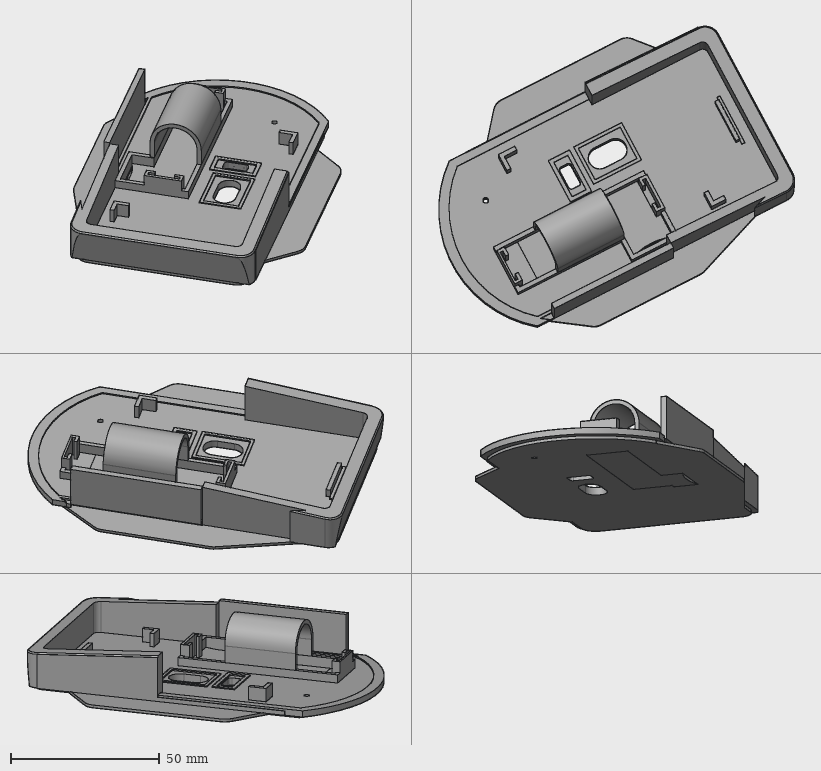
import cadquery as cq
base_thickness = 1.0
door_top = 2.1
floor_top = 2.8
ledge_top = 2.5
plug_top = 2.6
frame_top = 3.1
rim_top = 3.2
tray_top = 5.6
bracket_top = 7.5
clip_top = 9.6
panel_top = 17.5
arch_top = 20.5

length = 115.2
half_width = 32.1
shoulder_y = 99.7
corner_radius = 5.0

wall_end_y = 48.0
wall_rear_z = 17.0
wall_front_z = 13.1
nose_z = 12.4
front_draft = 1.7
wall_thickness = 5.0
wall_chamfer = 0.5
cavity_radius = 2.1

rim_inner_half_width = 29.3
rim_inner_shoulder_y = 98.1
rim_inner_end_y = 111.6

base_half_width = 30.3
base_front_y = 1.7
base_shoulder_y = 97.9
base_end_y = 112.6
wing_left_x = -41.2
wing_right_x = 43.2
wing_radius = 5.0
left_wing_root_y = (12.2, 97.5)
left_wing_tip_y = (41.7, 81.9)
right_wing_root_y = (15.5, 87.0)
right_wing_tip_y = (26.7, 76.5)

panel_outer_x = -32.4
panel_end_y = 93.4
sill_width = 0.3
pad_thickness = 0.2

tray_wall = 1.5
tray_left_x = -19.5
tray_right_x = -1.6
tray_front_y = 43.4
tray_rear_y = 100.4
tray_wing_left_x = wall_thickness - half_width
tray_wing_rear_y = 61.3

clip_left_x = -17.0
clip_right_x = -4.0
clip_side = 1.0
clip_mouth = 6.9
rear_clip_depths = (0.7, 1.0, 1.2)
front_clip_depths = (1.0, 1.2, 1.0)

door_rear_y = 92.1
door_front_y = tray_front_y + sum(front_clip_depths)
notch_depth = 1.4

arch_front_y = 60.1
arch_rear_y = 85.3

port_center = (8.8, 66.0)
port_frame = (16.1, 8.1)
port_frame_width = 1.4
port_hole = (8.5, 4.4)
port_hole_radius = 1.0
slot_center = (9.8, 51.1)
slot_frame = (14.5, 18.2)
slot_frame_width = 1.2
slot_hole = (7.7, 13.7)

pin_hole_diameter = 1.8
pin_hole_center = (14.5, 95.0)
bracket_thickness = 1.5
left_bracket_corner = (-23.6, 29.0)
left_bracket_arm = 5.4
right_bracket_corner = (25.6, 84.4)
right_bracket_arm = 6.2
stop_center_x = 0.8
stop_front_y = 8.4
stop_bar = (18.2, 1.2)
stop_back = (15.3, 1.5)


def block(x_range, y_range, z_range):
    """Box between two X, two Y and two Z values."""
    size = [high - low for low, high in (x_range, y_range, z_range)]
    return cq.Workplane("XY").box(*size, centered=False).translate((x_range[0], y_range[0], z_range[0]))


def arched_outline(half, front_y, side_y, end_y, z_range):
    """Plate with straight sides and a round rear end."""
    return (
        cq.Workplane("XY", origin=(0, 0, z_range[0]))
        .moveTo(-half, front_y)
        .lineTo(half, front_y)
        .lineTo(half, side_y)
        .threePointArc((0, end_y), (-half, side_y))
        .close()
        .extrude(z_range[1] - z_range[0])
    )


def side_profile(points, x_range):
    """Prism along X from (Y, Z) points."""
    start = cq.Workplane("YZ", origin=(x_range[0], 0, 0))
    return start.polyline(points).close().extrude(x_range[1] - x_range[0])


def wing(root_x, tip_x, root_y, tip_y, top_z):
    """Tapered side wing of the base plate, with rounded outer corners."""
    points = [(root_x, root_y[0]), (tip_x, tip_y[0]), (tip_x, tip_y[1]), (root_x, root_y[1])]
    tip_side = "<X" if tip_x < root_x else ">X"
    prism = cq.Workplane("XY").polyline(points).close().extrude(top_z)
    return prism.faces(tip_side).edges("|Z").fillet(wing_radius)


def left_wing(top_z):
    return wing(-base_half_width, wing_left_x, left_wing_root_y, left_wing_tip_y, top_z)


def right_wing(top_z):
    return wing(base_half_width, wing_right_x, right_wing_root_y, right_wing_tip_y, top_z)


def tray_space(inset, z_range):
    """L-shaped footprint of the battery tray, drawn in from its outside by the inset."""
    front = tray_front_y + inset
    right = tray_right_x - inset
    main = block((tray_left_x + inset, right), (front, tray_rear_y - inset), z_range)
    bay = block((tray_wing_left_x + inset, right), (front, tray_wing_rear_y - inset), z_range)
    return main.union(bay)


def door_opening():
    """Opening for the door through the housing floor and the base plate."""
    z_range = (0, door_top)
    front_sill = block((clip_left_x, tray_right_x), (tray_front_y, door_front_y), z_range)
    rear_floor = block((tray_left_x, tray_right_x), (door_rear_y, tray_rear_y), z_range)
    return tray_space(tray_wall, z_range).cut(front_sill).cut(rear_floor)


def through_holes():
    """Rounded port, round-ended slot and pin hole, through housing and base plate."""
    port = cq.Workplane("XY").center(*port_center).rect(*port_hole).extrude(rim_top)
    port = port.edges("|Z").fillet(port_hole_radius)
    slot = cq.Workplane("XY").center(*slot_center).slot2D(slot_hole[1], slot_hole[0], 90).extrude(rim_top)
    pin_hole = cq.Workplane("XY").center(*pin_hole_center).circle(pin_hole_diameter / 2).extrude(rim_top)
    return port.union(slot).union(pin_hole)


def wall_height(y):
    """Height of the sloped wall top at a given Y."""
    return wall_front_z + (wall_rear_z - wall_front_z) * y / wall_end_y


def front_shell():
    """Solid front half with sloped top, leaning front face and chamfered top edge."""
    profile = [
        (front_draft, base_thickness),
        (wall_end_y, base_thickness),
        (wall_end_y, wall_rear_z),
        (0, wall_front_z),
        (0, nose_z),
    ]
    body = side_profile(profile, (-half_width, half_width))
    footprint = block((-half_width, half_width), (0, length), (0, panel_top))
    footprint = footprint.edges("|Z and <Y").fillet(corner_radius)
    return body.intersect(footprint).faces(">Z").edges("not >Y").chamfer(wall_chamfer)


def side_pad():
    """Thin pad along the right side: up to the wall chamfer in front, a low ledge behind."""
    profile = [
        (corner_radius, base_thickness),
        (panel_end_y, base_thickness),
        (panel_end_y, ledge_top),
        (wall_end_y, ledge_top),
        (wall_end_y, wall_rear_z - wall_chamfer),
        (corner_radius, wall_height(corner_radius) - wall_chamfer),
    ]
    return side_profile(profile, (half_width, half_width + pad_thickness))


def add_clip(shell, back_y, inward, depths):
    """Add a C-shaped contact holder, open toward the inside of the tray."""
    back, channel, lip = depths
    middle_x = (clip_left_x + clip_right_x) / 2

    def y_span(start, end):
        return tuple(sorted((back_y + inward * start, back_y + inward * end)))

    z_range = (door_top, clip_top)
    holder = block((clip_left_x, clip_right_x), y_span(0, back + channel + lip), z_range)
    groove = block((clip_left_x + clip_side, clip_right_x - clip_side), y_span(back, back + channel), z_range)
    mouth_x = (middle_x - clip_mouth / 2, middle_x + clip_mouth / 2)
    mouth = block(mouth_x, y_span(back, back + channel + lip), z_range)
    return shell.union(holder).cut(groove).cut(mouth)


def standing_prism(center, size, top_z):
    """Rectangular prism that stands on the base plate."""
    start = cq.Workplane("XY", origin=(0, 0, base_thickness)).center(*center)
    return start.rect(*size).extrude(top_z - base_thickness)


def frame(center, size):
    """Solid rectangular frame around a window, before the window is cut."""
    return standing_prism(center, size, frame_top)


def window(center, size, width, top_z):
    """Rectangular prism inside a frame, from the base plate up."""
    inner = [side - 2 * width for side in size]
    return standing_prism(center, inner, top_z)


def windows(top_z):
    """Prisms inside both frames."""
    port = window(port_center, port_frame, port_frame_width, top_z)
    slot = window(slot_center, slot_frame, slot_frame_width, top_z)
    return port.union(slot)


def bracket(corner, x_direction, arm):
    """L-shaped bracket whose arms run from the corner along X and toward -Y."""
    x, y = corner
    z_range = (base_thickness, bracket_top)
    x_far = x + x_direction * arm
    x_near = x + x_direction * bracket_thickness
    along_x = block((min(x, x_far), max(x, x_far)), (y - bracket_thickness, y), z_range)
    along_y = block((min(x, x_near), max(x, x_near)), (y - arm, y), z_range)
    return along_x.union(along_y)


def front_stop():
    """Low bar behind the front wall, backed by a taller rib."""
    bar_z = (base_thickness, rim_top)
    back_z = (base_thickness, tray_top)
    bar_rear_y = stop_front_y + stop_bar[1]
    bar_x = (stop_center_x - stop_bar[0] / 2, stop_center_x + stop_bar[0] / 2)
    back_x = (stop_center_x - stop_back[0] / 2, stop_center_x + stop_back[0] / 2)
    bar = block(bar_x, (stop_front_y, bar_rear_y), bar_z)
    back = block(back_x, (bar_rear_y, bar_rear_y + stop_back[1]), back_z)
    return bar.union(back)


def make_housing():
    rear_z = (base_thickness, rim_top)
    rear = arched_outline(half_width, wall_end_y, shoulder_y, length, rear_z)
    shell = rear.union(front_shell()).union(side_pad())

    inside_z = (floor_top, panel_top)
    rear_recess = arched_outline(
        rim_inner_half_width, wall_end_y, rim_inner_shoulder_y, rim_inner_end_y, inside_z
    )
    cavity_half = half_width - wall_thickness
    cavity = block((-cavity_half, cavity_half), (wall_thickness, wall_end_y + wall_thickness), inside_z)
    cavity = cavity.edges("|Z and <Y").fillet(cavity_radius)
    shell = shell.cut(rear_recess).cut(cavity)

    shell = shell.cut(left_wing(panel_top))

    tray_inside = tray_space(tray_wall, (door_top, tray_top))
    shell = shell.union(tray_space(0, (base_thickness, tray_top))).cut(tray_inside)
    shell = add_clip(shell, tray_rear_y, -1, rear_clip_depths)
    shell = add_clip(shell, tray_front_y, 1, front_clip_depths)
    shell = shell.union(frame(port_center, port_frame)).union(frame(slot_center, slot_frame)).cut(windows(rim_top))
    shell = shell.union(bracket(left_bracket_corner, 1, left_bracket_arm))
    shell = shell.union(bracket(right_bracket_corner, -1, right_bracket_arm))
    shell = shell.union(front_stop())
    return shell.cut(door_opening()).cut(through_holes())


def make_base_plate():
    z_range = (0, base_thickness)
    plate = arched_outline(base_half_width, base_front_y, base_shoulder_y, base_end_y, z_range)
    plate = plate.edges("|Z and <Y").fillet(corner_radius)
    plate = plate.union(left_wing(base_thickness)).union(right_wing(base_thickness))
    plate = plate.union(windows(plug_top))
    return plate.cut(door_opening()).cut(through_holes())


def make_side_sill():
    """Narrow strip under the panel that widens behind it to fill the notch in the housing side."""
    z_range = (base_thickness, ledge_top)
    notch = block((-half_width, -base_half_width), (wall_end_y, length), z_range)
    under_panel = block((-half_width, -base_half_width - sill_width), (wall_end_y, panel_end_y), z_range)
    return left_wing(ledge_top).intersect(notch).cut(under_panel)


def make_side_panel():
    return block((panel_outer_x, -base_half_width), (wall_end_y, panel_end_y), (ledge_top, panel_top))


def make_battery_door():
    """Floor plate of the tray with a shallow curved finger notch in its left edge."""
    left = tray_wing_left_x + tray_wall
    front = tray_front_y + tray_wall
    rear = tray_wing_rear_y - tray_wall
    notch = (
        cq.Workplane("XY")
        .moveTo(left, front)
        .threePointArc((left + notch_depth, (front + rear) / 2), (left, rear))
        .close()
        .extrude(door_top)
    )
    return door_opening().cut(notch)


def make_arch():
    """Half-round cover on two straight legs that stand on the tray walls."""
    outer_radius = (tray_right_x - tray_left_x) / 2
    inner_radius = outer_radius - tray_wall
    middle_x = (tray_left_x + tray_right_x) / 2
    axis_z = arch_top - outer_radius

    def tunnel(radius):
        return (
            cq.Workplane("XZ", origin=(middle_x, arch_rear_y, 0))
            .moveTo(-radius, tray_top)
            .lineTo(-radius, axis_z)
            .threePointArc((0, axis_z + radius), (radius, axis_z))
            .lineTo(radius, tray_top)
            .close()
            .extrude(arch_rear_y - arch_front_y)
        )

    return tunnel(outer_radius).cut(tunnel(inner_radius))


housing = make_housing()
base_plate = make_base_plate()
side_sill = make_side_sill()
side_panel = make_side_panel()
battery_door = make_battery_door()
arch = make_arch()

result = cq.Compound.makeCompound(
    [
        housing.val(),
        base_plate.val(),
        side_sill.val(),
        side_panel.val(),
        battery_door.val(),
        arch.val(),
    ]
)